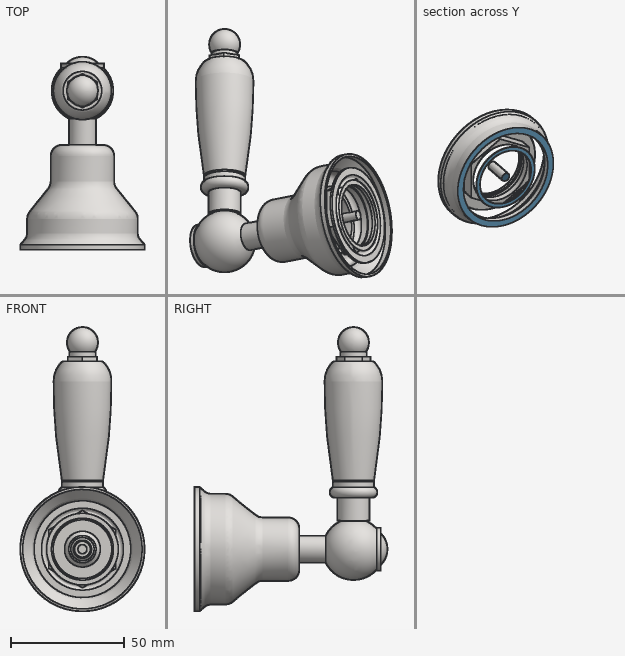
import cadquery as cq
import math


mount_y = -70.3
bell_length = 46.4
bell_end_y = mount_y + bell_length

flange_radius = 27.5
flange_thickness = 2.3
flare_root_depth = 5.7
body_radius = 24.5
shoulder_depth = 15.5
throat_radius = 14.1
throat_depth = 28.4
body_fillet = 5.0
flare_fillet = 4.0
lip_radius = 26.4
lip_depth = 2.8
lip_cone_end_radius = 22.4
lip_cone_end_depth = 7.5
chamber_radius = 21.4
chamber_start_depth = 9.4
chamber_floor_depth = 14.5
chamber_fillet = 2.5
tube_radius = 15.0
tube_tip_depth = 11.8
bell_bore_radius = 13.0
bore_floor_depth = 41.5

nut_flange_radius = 21.4
nut_flange_thickness = 1.0
nut_height = 7.2
nut_corner_radius = 17.1
nut_bore_radius = 13.7
groove_outer_radius = 18.1
groove_inner_radius = 15.8
groove_depth = 0.8
groove_chamfer_radius = 17.3
groove_chamfer_depth = 0.5
relief_radius = 14.3
relief_start_depth = 1.5
relief_end_depth = 4.0

ball_radius = 13.7
stem_radius = 6.0
boss_radius = 7.9
boss_height = 2.1
taper_radius = 5.2
taper_height = 1.1
spindle_radius = 4.0
spindle_length = 3.8
spindle_chamfer = 0.5
pin_radius = 2.0
cap_radius = 9.5
cap_start_y = 10.2
cap_end_y = 12.1
dome_radius = 7.0
dome_top_y = 15.1
neck_radius = 7.2
neck_bottom_z = 12.6
bead_bottom_z = 22.6
bead_radius = 2.5
bead_core_radius = 8.0
bead_centre_z = bead_bottom_z + bead_radius
collar_radius = 9.2
bead_top_z = bead_centre_z + math.sqrt(bead_radius**2 - (collar_radius - bead_core_radius) ** 2)
collar_top_z = 29.7

grip_bottom_radius = 8.8
grip_base_radius = 9.2
grip_base_height = 0.8
grip_belly = [(9.7, 34.1), (10.5, 40.7), (11.7, 49.4), (12.5, 59.0)]
grip_max_radius = 12.8
grip_max_z = 74.2
grip_top_z = 83.1
grip_rim_radius = 9.3
grip_rim_height = 0.5
grip_top_radius = 8.5
grip_dome_radius = 12.3

finial_top_z = 98.2
finial_ball_radius = 6.9
finial_neck_radius = 5.9
finial_neck_top_z = 87.1
hexagon_across_flats = 13.1
hexagon_height = 2.0


def revolve_profile(profile):
    """Close a half profile and turn it about the workplane's vertical axis: Y for XY, Z for XZ."""
    return profile.close().revolve(360, (0, 0, 0), (0, 1, 0))


def from_mount(depth):
    """Y position of a given depth inside the bell."""
    return mount_y + depth


def circles_at(radius, depth):
    """Select the bell edges that circle the axis at a depth, out to a given radius."""
    margin = 0.06
    y = from_mount(depth)
    return cq.selectors.BoxSelector(
        (-radius - margin, y - margin, -radius - margin),
        (radius + margin, y + margin, radius + margin),
        boundingbox=True,
    )


def make_bell():
    outside = revolve_profile(
        cq.Workplane("XY")
        .moveTo(0, from_mount(0))
        .lineTo(flange_radius, from_mount(0))
        .lineTo(flange_radius, from_mount(flange_thickness))
        .lineTo(body_radius, from_mount(flare_root_depth))
        .lineTo(body_radius, from_mount(shoulder_depth))
        .lineTo(throat_radius, from_mount(throat_depth))
        .lineTo(throat_radius, bell_end_y)
        .lineTo(0, bell_end_y)
    )
    outside = outside.edges(circles_at(body_radius, flare_root_depth)).fillet(flare_fillet)
    outside = outside.edges(circles_at(body_radius, shoulder_depth)).fillet(body_fillet)
    outside = outside.edges(circles_at(throat_radius, throat_depth)).fillet(body_fillet)
    outside = outside.edges(circles_at(throat_radius, bell_length)).fillet(body_fillet)

    chamber = revolve_profile(
        cq.Workplane("XY")
        .moveTo(0, from_mount(0))
        .lineTo(lip_radius, from_mount(0))
        .lineTo(lip_radius, from_mount(lip_depth))
        .lineTo(lip_cone_end_radius, from_mount(lip_cone_end_depth))
        .lineTo(chamber_radius, from_mount(chamber_start_depth))
        .lineTo(chamber_radius, from_mount(chamber_floor_depth))
        .lineTo(tube_radius, from_mount(chamber_floor_depth))
        .lineTo(tube_radius, from_mount(tube_tip_depth))
        .lineTo(bell_bore_radius, from_mount(tube_tip_depth))
        .lineTo(bell_bore_radius, from_mount(bore_floor_depth))
        .lineTo(0, from_mount(bore_floor_depth))
    )
    chamber_floor_edges = chamber.edges(circles_at(chamber_radius, chamber_floor_depth))
    chamber = chamber_floor_edges.fillet(chamber_fillet)
    stem_hole = (
        cq.Workplane("XZ", origin=(0, bell_end_y, 0))
        .circle(stem_radius)
        .extrude(bell_length - bore_floor_depth)
    )
    return outside.cut(chamber).cut(stem_hole)


def make_nut():
    flange = (
        cq.Workplane("XZ", origin=(0, from_mount(nut_flange_thickness), 0))
        .circle(nut_flange_radius)
        .extrude(nut_flange_thickness)
    )
    hexagon = (
        cq.Workplane("XZ", origin=(0, from_mount(nut_height), 0))
        .transformed(rotate=(0, 0, 90))
        .polygon(6, 2 * nut_corner_radius)
        .extrude(nut_height)
    )
    bore = (
        cq.Workplane("XZ", origin=(0, from_mount(nut_height), 0))
        .circle(nut_bore_radius)
        .extrude(nut_height)
    )
    relief = (
        cq.Workplane("XZ", origin=(0, from_mount(relief_end_depth), 0))
        .circle(relief_radius)
        .extrude(relief_end_depth - relief_start_depth)
    )
    groove_middle = ((groove_chamfer_radius + groove_inner_radius) / 2, from_mount(groove_depth))
    groove = revolve_profile(
        cq.Workplane("XY")
        .moveTo(groove_outer_radius, from_mount(0))
        .lineTo(groove_chamfer_radius, from_mount(groove_chamfer_depth))
        .threePointArc(groove_middle, (groove_inner_radius, from_mount(0)))
    )
    return flange.union(hexagon).cut(bore).cut(relief).cut(groove)


def make_lever():
    ball = cq.Workplane("XY").sphere(ball_radius)
    boss_base_y = from_mount(bore_floor_depth)
    boss_tip_y = boss_base_y - boss_height
    taper_tip_y = boss_tip_y - taper_height
    spindle_tip_y = taper_tip_y - spindle_length
    arm = revolve_profile(
        cq.Workplane("XY")
        .moveTo(0, mount_y)
        .lineTo(pin_radius, mount_y)
        .lineTo(pin_radius, spindle_tip_y)
        .lineTo(spindle_radius - spindle_chamfer, spindle_tip_y)
        .lineTo(spindle_radius, spindle_tip_y + spindle_chamfer)
        .lineTo(spindle_radius, taper_tip_y)
        .lineTo(taper_radius, boss_tip_y)
        .lineTo(stem_radius, boss_tip_y)
        .lineTo(boss_radius, boss_base_y)
        .lineTo(stem_radius, boss_base_y)
        .lineTo(stem_radius, 0)
        .lineTo(0, 0)
    )
    dome_height = dome_top_y - cap_end_y
    dome_curvature = (dome_radius**2 + dome_height**2) / (2 * dome_height)
    half_angle = math.asin(dome_radius / dome_curvature) / 2
    dome_middle = (
        dome_curvature * math.sin(half_angle),
        dome_top_y - dome_curvature * (1 - math.cos(half_angle)),
    )
    cap = revolve_profile(
        cq.Workplane("XY")
        .moveTo(0, cap_start_y)
        .lineTo(cap_radius, cap_start_y)
        .lineTo(cap_radius, cap_end_y)
        .lineTo(dome_radius, cap_end_y)
        .threePointArc(dome_middle, (0, dome_top_y))
    )
    neck = revolve_profile(
        cq.Workplane("XZ")
        .lineTo(stem_radius, 0)
        .lineTo(stem_radius, neck_bottom_z)
        .lineTo(neck_radius, neck_bottom_z)
        .lineTo(neck_radius, bead_bottom_z)
        .lineTo(bead_core_radius, bead_bottom_z)
        .threePointArc((bead_core_radius + bead_radius, bead_centre_z), (collar_radius, bead_top_z))
        .lineTo(collar_radius, collar_top_z)
        .lineTo(0, collar_top_z)
    )
    return ball.union(arm).union(cap).union(neck)


def make_grip():
    body_start = (grip_base_radius, collar_top_z + grip_base_height)
    belly = [*grip_belly, (grip_max_radius, grip_max_z)]
    rim = (grip_rim_radius, grip_top_z - grip_rim_height)
    half_angle = math.asin((rim[1] - grip_max_z) / grip_dome_radius) / 2
    dome_middle = (
        grip_max_radius - grip_dome_radius * (1 - math.cos(half_angle)),
        grip_max_z + grip_dome_radius * math.sin(half_angle),
    )
    return revolve_profile(
        cq.Workplane("XZ")
        .moveTo(0, collar_top_z)
        .lineTo(grip_bottom_radius, collar_top_z)
        .lineTo(*body_start)
        .spline(belly, includeCurrent=True)
        .threePointArc(dome_middle, rim)
        .lineTo(grip_top_radius, grip_top_z)
        .lineTo(0, grip_top_z)
    )


def make_finial():
    ball_z = finial_top_z - finial_ball_radius
    hexagon = (
        cq.Workplane("XY", origin=(0, 0, grip_top_z))
        .transformed(rotate=(0, 0, 90))
        .polygon(6, hexagon_across_flats / math.cos(math.pi / 6))
        .extrude(hexagon_height)
    )
    neck = (
        cq.Workplane("XY", origin=(0, 0, grip_top_z))
        .circle(finial_neck_radius)
        .extrude(finial_neck_top_z - grip_top_z)
    )
    ball = cq.Workplane("XY", origin=(0, 0, ball_z)).sphere(finial_ball_radius)
    return hexagon.union(neck).union(ball)


bell = make_bell()
nut = make_nut()
lever = make_lever()
grip = make_grip()
finial = make_finial()

result = cq.Compound.makeCompound([bell.val(), nut.val(), lever.val(), grip.val(), finial.val()])